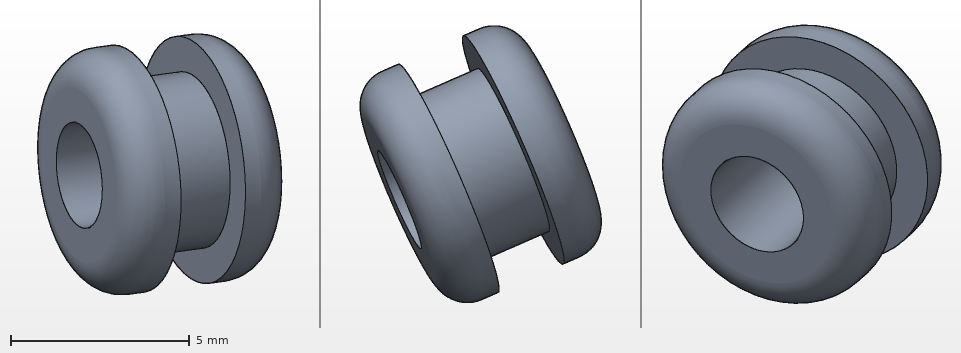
import cadquery as cq

flange_diameter = 7.0
total_length = 5.0
core_diameter = 5.0
bore_diameter = 3.0
flange_thickness = 1.5
rim_radius = 1.0


def flange(outer_y, inward):
    """Disc from the end face at outer_y towards the middle (inward is +1 or -1)."""
    disc = (
        cq.Workplane("XZ", origin=(0, outer_y, 0))
        .circle(flange_diameter / 2)
        .extrude(-inward * flange_thickness)
    )
    outer_face = "<Y" if inward > 0 else ">Y"
    return disc.faces(outer_face).edges().fillet(rim_radius)


core = cq.Workplane("XZ").circle(core_diameter / 2).extrude(total_length / 2, both=True)
bore = cq.Workplane("XZ").circle(bore_diameter / 2).extrude(total_length / 2, both=True)

body = core
for side in (-1, 1):
    body = body.union(flange(side * total_length / 2, -side))

result = body.cut(bore)